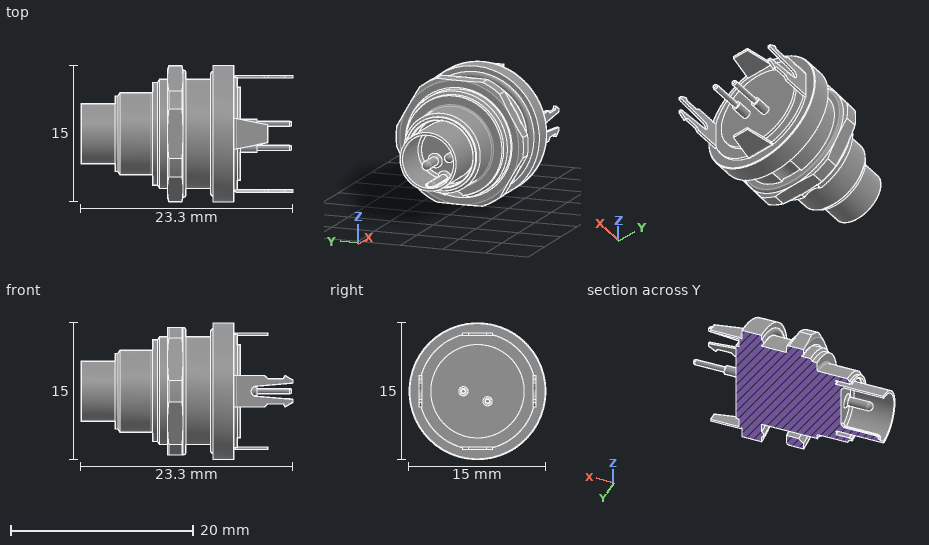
import cadquery as cq
import math


sleeve_diameter = 6.6
sleeve_bore = 6.0
cavity_depth = 5.0
cavity_floor_diameter = 5.4

collar_start = 3.75
collar_diameter = 8.31
collar_chamfer_start = 4.03
barrel_start = 4.25
barrel_diameter = 9.0
thread_lead_start = 7.85
thread_lead_diameter = 11.3
thread_chamfer_start = 8.4
thread_start = 8.62
thread_diameter = 12.0
barrel_root_fillet = 0.15

seal_groove_diameter = 7.5
seal_groove_depth = 2.0
seal_lip_diameter = 7.65
seal_lip_depth = 0.3

keyway_radius = 1.55
keyway_center_z = -6.6

flange_start = 14.45
flange_end = 16.79
flange_diameter = 15.0
flange_edge_chamfer = 0.08
gasket_section_radius = 0.45
gasket_front = 14.17

nut_start = 9.48
nut_hex_end = 11.17
nut_end = 11.5
nut_across_flats = 14.0
nut_corner_diameter = 15.0
nut_front_chamfer_length = 0.15
nut_back_chamfer_length = 0.1
nut_bore = 11.3
nut_bore_lead_diameter = 12.4
washer_fillet = 0.3

ring_diameter = 12.82
ring_end = 17.13
sheet_thickness = 0.3
bend_radius = 0.28
bend_half_width = 2.1
tab_root_half_width = 1.65
tab_tip_half_width = 0.98
tab_end = 20.48

clip_end = 23.25
clip_half_width = 1.73
clip_shoulder = 20.13
clip_neck_start = 20.5
clip_neck_end = 22.17
clip_neck_half_width = 1.38
clip_barb_peak = 22.37
clip_tip_outer = 1.22
clip_tip_inner = 0.88
clip_corner_fillet = 0.2
slot_radius = 0.53
slot_center = 19.18

boss_diameter = 10.25
boss_end = 17.48

pin_positions = [(1.1, -1.1), (-1.55, 0.0)]
pin_front = 1.9
pin_diameter = 1.0
pin_shoulder = 19.32
tail_diameter = 0.6
tail_end = 23.08
tail_chamfer_length = 0.2
tail_chamfer_depth = 0.08
pin_base_diameter = 1.64

key_front = 0.55
key_center_z = -2.99
key_root_width = 1.32
key_root_height = 0.1


def cylinder(diameter, start, end, y=0.0, z=0.0):
    """Cylinder along X between two X positions."""
    return cq.Workplane("YZ", origin=(start, y, z)).circle(diameter / 2).extrude(end - start)


def cone(start, start_diameter, end, end_diameter, y=0.0, z=0.0):
    """Conical frustum along X."""
    solid = cq.Solid.makeCone(
        start_diameter / 2, end_diameter / 2, end - start, cq.Vector(start, y, z), cq.Vector(1, 0, 0)
    )
    return cq.Workplane(obj=solid)


def torus(center_x, ring_radius, section_radius):
    """Ring of round section about the X axis."""
    solid = cq.Solid.makeTorus(ring_radius, section_radius, cq.Vector(center_x, 0, 0), cq.Vector(1, 0, 0))
    return cq.Workplane(obj=solid)


def make_body():
    barrel_radius = barrel_diameter / 2
    flange_radius = flange_diameter / 2
    fillet_mid = barrel_root_fillet * (1 - math.sqrt(0.5))
    profile = (
        cq.Workplane("XY")
        .moveTo(0, 0)
        .lineTo(0, sleeve_diameter / 2)
        .lineTo(collar_start, sleeve_diameter / 2)
        .lineTo(collar_start, collar_diameter / 2)
        .lineTo(collar_chamfer_start, collar_diameter / 2)
        .lineTo(barrel_start, barrel_radius)
        .lineTo(thread_lead_start - barrel_root_fillet, barrel_radius)
        .threePointArc(
            (thread_lead_start - fillet_mid, barrel_radius + fillet_mid),
            (thread_lead_start, barrel_radius + barrel_root_fillet),
        )
        .lineTo(thread_lead_start, thread_lead_diameter / 2)
        .lineTo(thread_chamfer_start, thread_lead_diameter / 2)
        .lineTo(thread_start, thread_diameter / 2)
        .lineTo(flange_start, thread_diameter / 2)
        .lineTo(flange_start, flange_radius)
        .lineTo(flange_end - flange_edge_chamfer, flange_radius)
        .lineTo(flange_end, flange_radius - flange_edge_chamfer)
        .lineTo(flange_end, 0)
        .close()
    )
    body = profile.revolve(360, (0, 0, 0), (1, 0, 0))
    keyway = cylinder(2 * keyway_radius, thread_lead_start, flange_start, z=keyway_center_z)
    body = body.cut(keyway)

    gasket_ring_radius = thread_diameter / 2 + gasket_section_radius
    body = body.union(torus(gasket_front + gasket_section_radius, gasket_ring_radius, gasket_section_radius))
    return body.union(cylinder(boss_diameter, flange_end, boss_end))


def cut_front_recesses(body):
    seal_groove = cylinder(seal_groove_diameter, collar_start, collar_start + seal_groove_depth)
    seal_groove = seal_groove.union(cylinder(seal_lip_diameter, collar_start, collar_start + seal_lip_depth))
    seal_groove = seal_groove.cut(cylinder(sleeve_diameter, collar_start, collar_start + seal_groove_depth))
    body = body.cut(seal_groove)
    seal_section_radius = (seal_groove_diameter - sleeve_diameter) / 4
    seal_ring_radius = (seal_groove_diameter + sleeve_diameter) / 4
    body = body.union(torus(collar_start + seal_groove_depth, seal_ring_radius, seal_section_radius))

    taper_length = (sleeve_bore - cavity_floor_diameter) / 2
    taper_start = cavity_depth - taper_length
    body = body.cut(cylinder(sleeve_bore, 0, taper_start))
    return body.cut(cone(taper_start, sleeve_bore, cavity_depth, cavity_floor_diameter))


def make_nut():
    hexagon_diameter = nut_across_flats / math.cos(math.pi / 6)
    nut = (
        cq.Workplane("YZ", origin=(nut_start, 0, 0))
        .polygon(6, hexagon_diameter)
        .extrude(nut_hex_end - nut_start)
    )
    front_chamfer_end = nut_start + nut_front_chamfer_length
    back_chamfer_start = nut_hex_end - nut_back_chamfer_length
    envelope = cone(nut_start, nut_across_flats, front_chamfer_end, nut_corner_diameter)
    envelope = envelope.union(cylinder(nut_corner_diameter, front_chamfer_end, back_chamfer_start))
    envelope = envelope.union(cone(back_chamfer_start, nut_corner_diameter, nut_hex_end, nut_across_flats))
    nut = nut.intersect(envelope)

    washer = cylinder(nut_across_flats, nut_hex_end, nut_end).faces(">X").edges().fillet(washer_fillet)
    nut = nut.union(washer).cut(cylinder(nut_bore, nut_start, nut_end))
    lead_length = (nut_bore_lead_diameter - nut_bore) / 2
    return nut.cut(cone(nut_start, nut_bore_lead_diameter, nut_start + lead_length, nut_bore))


def extrude_tab(outline):
    """Thicken an outline in XY into a tab whose outer face is tangent to the ring at +Z."""
    return outline.extrude(sheet_thickness).translate((0, 0, ring_diameter / 2 - sheet_thickness))


def make_ground_tab():
    outline = cq.Workplane("XY").polyline(
        [
            (flange_end, -tab_root_half_width),
            (ring_end, -tab_root_half_width),
            (tab_end, -tab_tip_half_width),
            (tab_end, tab_tip_half_width),
            (ring_end, tab_root_half_width),
            (flange_end, tab_root_half_width),
        ]
    )
    return extrude_tab(outline.close())


def make_clip():
    upper_edge = [
        (flange_end, clip_half_width),
        (clip_shoulder, clip_half_width),
        (clip_neck_start, clip_neck_half_width),
        (clip_neck_end, clip_neck_half_width),
        (clip_barb_peak, clip_half_width),
        (clip_end, clip_tip_outer),
        (clip_end, clip_tip_inner),
    ]
    lower_edge = [(x, -y) for x, y in reversed(upper_edge)]
    outline = (
        cq.Workplane("XY")
        .polyline(upper_edge)
        .lineTo(slot_center, slot_radius)
        .threePointArc((slot_center - slot_radius, 0), (slot_center, -slot_radius))
    )
    for point in lower_edge:
        outline = outline.lineTo(*point)
    clip = extrude_tab(outline.close())
    neck_corners = cq.selectors.BoxSelector(
        (clip_shoulder - clip_corner_fillet, -2 * clip_half_width, 0),
        (clip_neck_end + clip_corner_fillet / 2, 2 * clip_half_width, ring_diameter),
    )
    return clip.edges("|Z").edges(neck_corners).fillet(clip_corner_fillet)


def make_bend_relief():
    """Material outside the rounded bend, where a tab at +Z leaves the ring."""
    outer = ring_diameter / 2
    mid = bend_radius * (1 - math.sqrt(0.5))
    return (
        cq.Workplane("XZ")
        .moveTo(flange_end, outer)
        .lineTo(flange_end, outer - bend_radius)
        .threePointArc((flange_end + mid, outer - mid), (flange_end + bend_radius, outer))
        .close()
        .extrude(bend_half_width, both=True)
    )


def make_tab_ring():
    ring = cylinder(ring_diameter, flange_end, ring_end)
    ground_tab = make_ground_tab()
    clip = make_clip()
    bend_relief = make_bend_relief()
    for angle, tab in [(0, ground_tab), (90, clip), (180, ground_tab), (270, clip)]:
        ring = ring.union(tab.rotate((0, 0, 0), (1, 0, 0), angle))
        ring = ring.cut(bend_relief.rotate((0, 0, 0), (1, 0, 0), angle))
    return ring


def make_round_nosed_rod(front, end, y, z):
    """Rod along X with a hemispherical nose and a conical base on the cavity floor."""
    rod_radius = pin_diameter / 2
    dome_end = front + rod_radius
    dome_mid = rod_radius * math.sqrt(0.5)
    base_start = cavity_depth - (pin_base_diameter - pin_diameter) / 2
    profile = (
        cq.Workplane("XY")
        .moveTo(front, 0)
        .threePointArc((dome_end - dome_mid, dome_mid), (dome_end, rod_radius))
        .lineTo(base_start, rod_radius)
        .lineTo(cavity_depth, pin_base_diameter / 2)
        .lineTo(cavity_depth, rod_radius)
        .lineTo(end, rod_radius)
        .lineTo(end, 0)
        .close()
    )
    return profile.revolve(360, (0, 0, 0), (1, 0, 0)).translate((0, y, z))


def make_pin(y, z):
    pin = make_round_nosed_rod(pin_front, pin_shoulder, y, z)
    chamfer_start = tail_end - tail_chamfer_length
    pin = pin.union(cylinder(tail_diameter, pin_shoulder, chamfer_start, y, z))
    return pin.union(cone(chamfer_start, tail_diameter, tail_end, tail_diameter - 2 * tail_chamfer_depth, y, z))


def make_key():
    """Half-buried rod on the sleeve wall, standing on a slightly wider low root."""
    mid_wall_diameter = (sleeve_bore + sleeve_diameter) / 2
    wall = cylinder(mid_wall_diameter, 0, cavity_depth)
    key = make_round_nosed_rod(key_front, pin_shoulder, 0, key_center_z).intersect(wall)

    nose_center = key_front + pin_diameter / 2
    root = cq.Workplane("XY").center(nose_center, 0).circle(key_root_width / 2).extrude(-sleeve_diameter)
    shank = (
        cq.Workplane("XY")
        .center((nose_center + cavity_depth) / 2, 0)
        .rect(cavity_depth - nose_center, key_root_width)
        .extrude(-sleeve_diameter)
    )
    root_layer = wall.cut(cylinder(sleeve_bore - 2 * key_root_height, 0, cavity_depth))
    return key.union(root.union(shank).intersect(root_layer))


result = cut_front_recesses(make_body())
result = result.union(make_nut()).union(make_tab_ring()).union(make_key())
for pin_y, pin_z in pin_positions:
    result = result.union(make_pin(pin_y, pin_z))